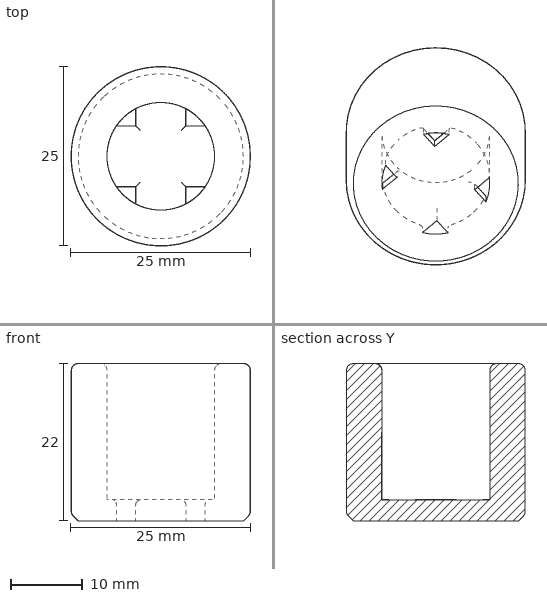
import cadquery as cq

outer_diameter = 25.0
height = 22.0
bore_diameter = 15.0
rim_radius = 1.0
base_chamfer = 1.0
base_blend_radius = 1.0

floor_thickness = 3.0
x_bar_width = 8.5
y_bar_width = 7.0
bar_edge_radius = 0.75

bar_length = (bore_diameter + outer_diameter) / 2


def make_sleeve():
    """Plain tube with rounded top rims and a chamfered, blended bottom edge."""
    body = cq.Workplane("XY").circle(outer_diameter / 2).extrude(height)
    body = body.faces("<Z").edges().chamfer(base_chamfer)
    chamfer_top = cq.selectors.BoxSelector(
        (-outer_diameter, -outer_diameter, base_chamfer / 2),
        (outer_diameter, outer_diameter, height / 2),
    )
    body = body.edges("%CIRCLE").edges(chamfer_top).fillet(base_blend_radius)
    bore = cq.Workplane("XY").circle(bore_diameter / 2).extrude(height)
    return body.cut(bore).faces(">Z").edges().fillet(rim_radius)


def make_bar(width):
    """Floor bar along X with its two long upper edges rounded."""
    bar = cq.Workplane("XY").box(bar_length, width, floor_thickness, centered=(True, True, False))
    return bar.edges("|X and >Z").fillet(bar_edge_radius)


def make_floor():
    """Two crossing bars, trimmed to a round outline that stays inside the wall."""
    x_bar = make_bar(x_bar_width)
    y_bar = make_bar(y_bar_width).rotate((0, 0, 0), (0, 0, 1), 90)
    outline = cq.Workplane("XY").circle(bar_length / 2).extrude(floor_thickness)
    return x_bar.union(y_bar).intersect(outline)


result = make_sleeve().union(make_floor())